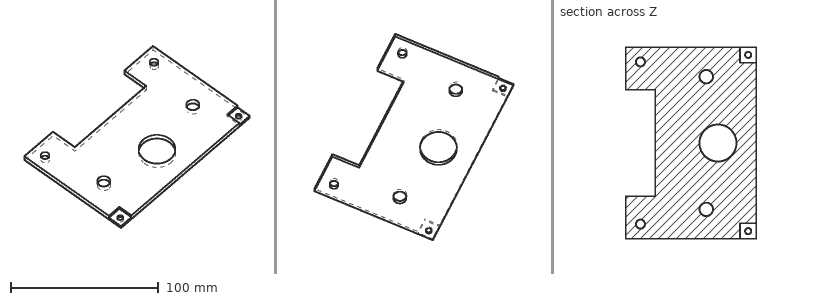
import cadquery as cq

length_x = 88.5
width_y = 130.0
thickness = 4.0

cutout_depth = 20.0
cutout_width = 72.0

pad_x = 11.0
pad_y = 10.5
pad_thickness = thickness / 2
pad_hole_diameter = 4.0
pad_hole_x = length_x - pad_x / 2
pad_hole_y = width_y / 2 - pad_y / 2

arm_hole_diameter = 6.0
arm_hole_inset = 10.0

opening_diameter = 25.0
opening_x = 62.5
side_hole_diameter = 9.0
side_hole_x = 54.6
side_hole_y = 45.0


def drill(body, diameter, points):
    """Cut round through holes at the given XY points."""
    cutters = cq.Workplane("XY").pushPoints(points).circle(diameter / 2).extrude(thickness)
    return body.cut(cutters)


def mirrored_pair(x, y):
    """Two points symmetric about the X axis."""
    return [(x, y), (x, -y)]


plate = cq.Workplane("XY").box(length_x, width_y, thickness, centered=(False, True, False))
cutout = cq.Workplane("XY").box(cutout_depth, cutout_width, thickness, centered=(False, True, False))
plate = plate.cut(cutout)

corner_centres = mirrored_pair(length_x - pad_x / 2, width_y / 2 - pad_y / 2)
corner_steps = (
    cq.Workplane("XY")
    .workplane(offset=pad_thickness)
    .pushPoints(corner_centres)
    .rect(pad_x, pad_y)
    .extrude(thickness - pad_thickness)
)
plate = plate.cut(corner_steps)

plate = drill(plate, pad_hole_diameter, mirrored_pair(pad_hole_x, pad_hole_y))
plate = drill(plate, arm_hole_diameter, mirrored_pair(arm_hole_inset, width_y / 2 - arm_hole_inset))
plate = drill(plate, side_hole_diameter, mirrored_pair(side_hole_x, side_hole_y))
plate = drill(plate, opening_diameter, [(opening_x, 0)])

result = plate